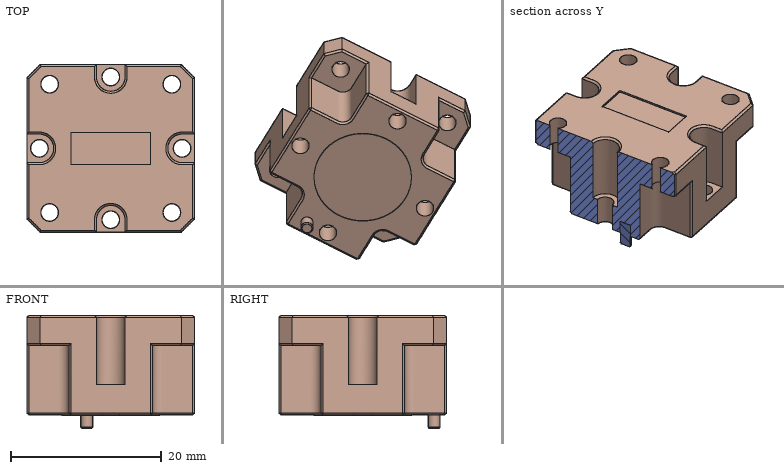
import cadquery as cq

side = 22.35
half = side / 2
height = 13.25
corner_bevel = 1.79
edge_break = 0.27

flange_thickness = 4.02
notch_size = 5.6
notch_fillet = 1.32
notch_ceiling = height - flange_thickness

hole_diameter = 2.3
corner_hole_x = 8.14
corner_hole_y = 8.54
side_hole_offset = 9.5

slot_width = 3.8
slot_depth = 9.19

label_length = 10.6
label_width = 4.3
label_depth = 0.25

pad_diameter = 12.96
pad_height = 0.1

pin_diameter = 1.6
pin_x = -3.2
pin_y = side_hole_offset
pin_protrusion = 1.79
pin_insertion = 1.79
pin_chamfer = 0.15

tolerance = 0.002


def near(value, target):
    return abs(value - target) < tolerance


def on_outer_side(point):
    """True for a point on a side face or on a bevelled corner face."""
    x, y = abs(point.x), abs(point.y)
    return near(x, half) or near(y, half) or near(x + y, side - corner_bevel)


def is_broken_edge(edge):
    """Pick the bottom outline and the outer rims of the corner notches."""
    box = edge.BoundingBox()
    on_bottom_face = near(box.zmax, 0)
    on_notch_rim = near(box.zmax, notch_ceiling) and on_outer_side(edge.Center())
    return on_bottom_face or on_notch_rim


def make_corner_notch(sign_x, sign_y):
    """Cutter for one corner, with its inner upright edge rounded."""
    center = half - notch_size / 2
    inner_x = "<X" if sign_x > 0 else ">X"
    inner_y = "<Y" if sign_y > 0 else ">Y"
    cutter = cq.Workplane("XY").box(notch_size, notch_size, notch_ceiling, centered=(True, True, False))
    cutter = cutter.edges("|Z").edges(f"{inner_x} and {inner_y}").fillet(notch_fillet)
    return cutter.translate((sign_x * center, sign_y * center, 0))


def make_side_slot(angle):
    """Round-ended slot cutter, concentric with the side hole at this angle."""
    floor = height - slot_depth
    round_end = cq.Workplane("XY").circle(slot_width / 2).extrude(slot_depth)
    straight = cq.Workplane("XY").box(slot_width, slot_width, slot_depth, centered=(False, True, False))
    cutter = round_end.union(straight).translate((side_hole_offset, 0, floor))
    return cutter.rotate((0, 0, 0), (0, 0, 1), angle)


def make_pin():
    pin = cq.Workplane("XY").circle(pin_diameter / 2).extrude(pin_protrusion + pin_insertion)
    return pin.faces("<Z").chamfer(pin_chamfer).translate((pin_x, pin_y, -pin_protrusion))


def make_housing():
    body = cq.Workplane("XY").box(side, side, height, centered=(True, True, False))
    body = body.edges("|Z").chamfer(corner_bevel)

    for sign_x in (-1, 1):
        for sign_y in (-1, 1):
            body = body.cut(make_corner_notch(sign_x, sign_y))
    broken_edges = [edge for edge in body.edges().vals() if is_broken_edge(edge)]
    body = body.newObject(broken_edges).chamfer(edge_break)

    for angle in (0, 90, 180, 270):
        body = body.cut(make_side_slot(angle))
    body = body.faces(">Z").chamfer(edge_break)

    pad = cq.Workplane("XY").circle(pad_diameter / 2).extrude(-pad_height)
    body = body.union(pad)

    corner_xs = (-corner_hole_x, corner_hole_x)
    corner_ys = (-corner_hole_y, corner_hole_y)
    hole_centers = [(x, y) for x in corner_xs for y in corner_ys]
    hole_centers += [(-side_hole_offset, 0), (side_hole_offset, 0)]
    hole_centers += [(0, -side_hole_offset), (0, side_hole_offset)]
    holes = cq.Workplane("XY").pushPoints(hole_centers).circle(hole_diameter / 2).extrude(height)
    body = body.cut(holes)

    label = cq.Workplane("XY", origin=(0, 0, height)).rect(label_length, label_width).extrude(-label_depth)
    pin_hole = cq.Workplane("XY").center(pin_x, pin_y).circle(pin_diameter / 2).extrude(pin_insertion)
    return body.cut(label).cut(pin_hole)


housing = make_housing()
pin = make_pin()
result = cq.Compound.makeCompound([housing.val(), pin.val()])